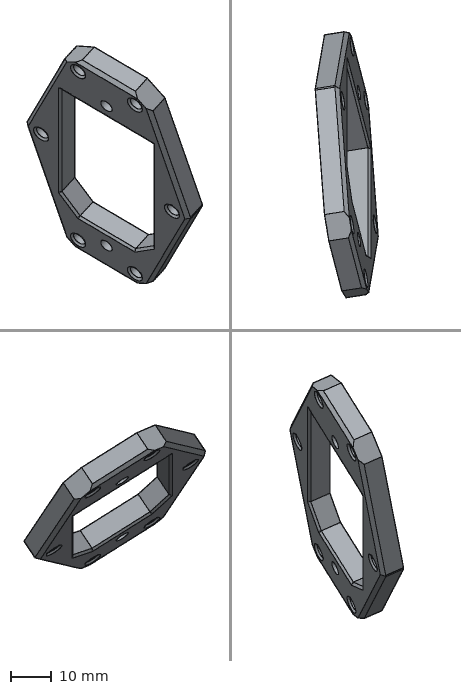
import cadquery as cq

height = 77.5
width = 49.8
thickness = 6.0
top_flat_width = 16.2
shoulder_half_width = 13.5
shoulder_z = 34.95
side_flat_height = 0.6
edge_chamfer = 1.0

window_width = 28.1
window_top = 22.8
window_bottom = -25.0
window_corner_cut = 5.6
window_chamfer = 0.6

hole_diameter = 3.5
hole_chamfer = 0.55
corner_hole_x = 8.7
corner_hole_z = 34.55
side_hole_x = 20.0
upper_hole_z = 27.3
lower_hole_z = -29.9

front_y = -thickness / 2
back_y = thickness / 2


def prism(points):
    """Extrude an XZ outline through the plate thickness."""
    return cq.Workplane("XZ", origin=(0, back_y, 0)).polyline(points).close().extrude(thickness)


def mirrored_outline(right_upper):
    """Complete an outline from its upper right points, listed anticlockwise."""
    left_upper = [(-x, z) for x, z in reversed(right_upper)]
    upper = right_upper + left_upper
    return upper + [(-x, -z) for x, z in upper]


def make_plate():
    """Chamfered hexagon, trimmed by plain cuts at the shoulders and side tips."""
    side_flat_top = side_flat_height / 2
    side_lean = (width / 2 - shoulder_half_width) / (shoulder_z - side_flat_top)
    tip_x = width / 2 + side_lean * side_flat_top
    top_x = tip_x - side_lean * height / 2
    hexagon = prism([
        (tip_x, 0),
        (top_x, height / 2),
        (-top_x, height / 2),
        (-tip_x, 0),
        (-top_x, -height / 2),
        (top_x, -height / 2),
    ])
    trimmed = prism(mirrored_outline([
        (width / 2, side_flat_top),
        (shoulder_half_width, shoulder_z),
        (top_flat_width / 2, height / 2),
    ]))
    return hexagon.faces("<Y").edges().chamfer(edge_chamfer).intersect(trimmed)


def window_outline(workplane):
    """Draw the window outline on the given XZ workplane."""
    half = window_width / 2
    cut_start = half - window_corner_cut
    cut_end = window_bottom + window_corner_cut
    return workplane.polyline([
        (-half, window_top),
        (half, window_top),
        (half, cut_end),
        (cut_start, window_bottom),
        (-cut_start, window_bottom),
        (-half, cut_end),
    ]).close()


def make_window():
    """Window cutter that flares out at 45 degrees towards the front face."""
    through = window_outline(cq.Workplane("XZ", origin=(0, back_y, 0))).extrude(thickness)
    flare_start = cq.Workplane("XZ", origin=(0, front_y + window_chamfer, 0))
    flare = window_outline(flare_start).extrude(window_chamfer, taper=-45)
    return through.union(flare)


def make_holes(centres):
    """Through-hole cutters at the given XZ centres."""
    back = cq.Workplane("XZ", origin=(0, back_y, 0))
    return back.pushPoints(centres).circle(hole_diameter / 2).extrude(thickness)


def make_countersinks(centres):
    """45 degree countersink cutters on the front face."""
    sink_start = cq.Workplane("XZ", origin=(0, front_y + hole_chamfer, 0))
    return sink_start.pushPoints(centres).circle(hole_diameter / 2).extrude(hole_chamfer, taper=-45)


countersunk_centres = [(-side_hole_x, 0), (side_hole_x, 0)]
for x in (-corner_hole_x, corner_hole_x):
    for z in (-corner_hole_z, corner_hole_z):
        countersunk_centres.append((x, z))
plain_centres = [(0, upper_hole_z), (0, lower_hole_z)]

result = make_plate().cut(make_window())
result = result.cut(make_holes(countersunk_centres + plain_centres))
result = result.cut(make_countersinks(countersunk_centres))